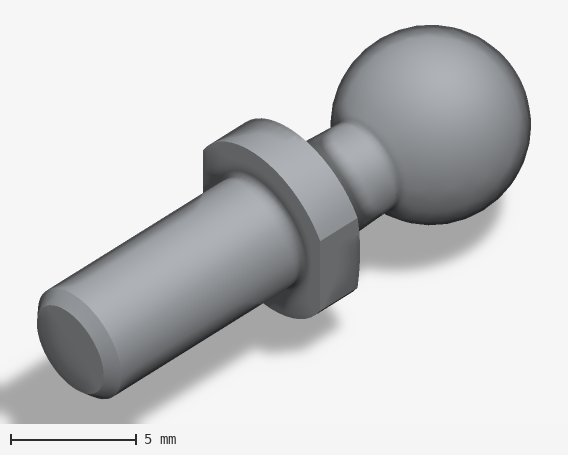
import cadquery as cq
import math

total_length = 22.7
shank_length = 10.22
shank_radius = 2.5
shank_chamfer = 0.5

collar_thickness = 2.0
across_flats = 7.0
collar_cone_angle = math.radians(15)

ball_radius = 4.0
collar_radius = ball_radius
ball_flat_radius = 2.0
neck_top_radius = 2.0
neck_taper_angle = math.radians(3)

flare_fillet = 1.0
root_fillet = 0.2

shank_end = -shank_length
ball_top = total_length - shank_length
ball_center = ball_top - math.sqrt(ball_radius**2 - ball_flat_radius**2)
neck_top = ball_center - math.sqrt(ball_radius**2 - neck_top_radius**2)

neck_slope = math.tan(neck_taper_angle)
cone_slope = math.tan(collar_cone_angle)
cone_rise = (collar_radius - neck_top_radius - neck_slope * (neck_top - collar_thickness)) * cone_slope
neck_base = collar_thickness + cone_rise / (1 - neck_slope * cone_slope)
neck_base_radius = neck_top_radius + neck_slope * (neck_top - neck_base)


def turned_body():
    """Revolve the half profile, with sharp corners where the fillets go."""
    profile = (
        cq.Workplane("XY")
        .moveTo(0, shank_end)
        .lineTo(shank_radius - shank_chamfer, shank_end)
        .lineTo(shank_radius, shank_end + shank_chamfer)
        .lineTo(shank_radius, 0)
        .lineTo(collar_radius, 0)
        .lineTo(collar_radius, collar_thickness)
        .lineTo(neck_base_radius, neck_base)
        .lineTo(neck_top_radius, neck_top)
        .threePointArc((ball_radius, ball_center), (ball_flat_radius, ball_top))
        .lineTo(0, ball_top)
        .close()
    )
    return profile.revolve(360, (0, 0, 0), (0, 1, 0))


def fillet_ring(body, radius, axial_position, fillet_radius):
    """Round the circular edge of the given radius at one place along the axis."""
    margin = 0.02
    ring_box = cq.selectors.BoxSelector(
        (-radius - margin, axial_position - margin, -radius - margin),
        (radius + margin, axial_position + margin, radius + margin),
        boundingbox=True,
    )
    return body.edges(ring_box).fillet(fillet_radius)


def cut_collar_flats(body):
    """Trim both X sides of the collar to the across-flats width."""
    flat_cut_depth = collar_radius - across_flats / 2
    cut_length = neck_base
    for side in (-1, 1):
        cutter = cq.Workplane("XY").box(flat_cut_depth, cut_length, 2 * collar_radius)
        cutter_center = side * (across_flats + flat_cut_depth) / 2
        body = body.cut(cutter.translate((cutter_center, cut_length / 2, 0)))
    return body


body = turned_body()
body = fillet_ring(body, shank_radius, 0, root_fillet)
body = fillet_ring(body, neck_base_radius, neck_base, flare_fillet)
body = fillet_ring(body, neck_top_radius, neck_top, root_fillet)
result = cut_collar_flats(body)